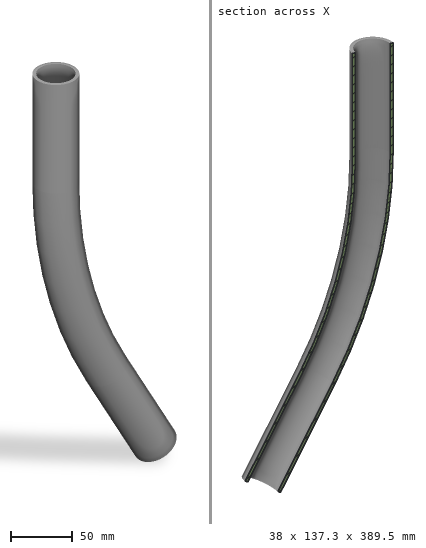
import cadquery as cq
import math

overall_height = 389.5
outer_diameter = 38.0
inner_diameter = 32.0
straight_length = 101.3
bend_angle = math.radians(30)

outer_radius = outer_diameter / 2
lower_straight_height = straight_length * math.cos(bend_angle)
lower_rim_height = outer_radius * math.sin(bend_angle)
bend_height = overall_height - straight_length - lower_straight_height - lower_rim_height
bend_radius = bend_height / math.sin(bend_angle)


def bend_point(angle):
    """Centreline point (Y, Z) at an angle along the bend, below the upper straight."""
    y = bend_radius * (1 - math.cos(angle))
    z = -straight_length - bend_radius * math.sin(angle)
    return y, z


bend_start = bend_point(0)
bend_middle = bend_point(bend_angle / 2)
bend_end = bend_point(bend_angle)
lower_end = (
    bend_end[0] + straight_length * math.sin(bend_angle),
    bend_end[1] - lower_straight_height,
)
centreline = (
    cq.Workplane("YZ")
    .moveTo(0, 0)
    .lineTo(*bend_start)
    .threePointArc(bend_middle, bend_end)
    .lineTo(*lower_end)
)

result = (
    cq.Workplane("XY")
    .circle(outer_radius)
    .circle(inner_diameter / 2)
    .sweep(centreline)
)